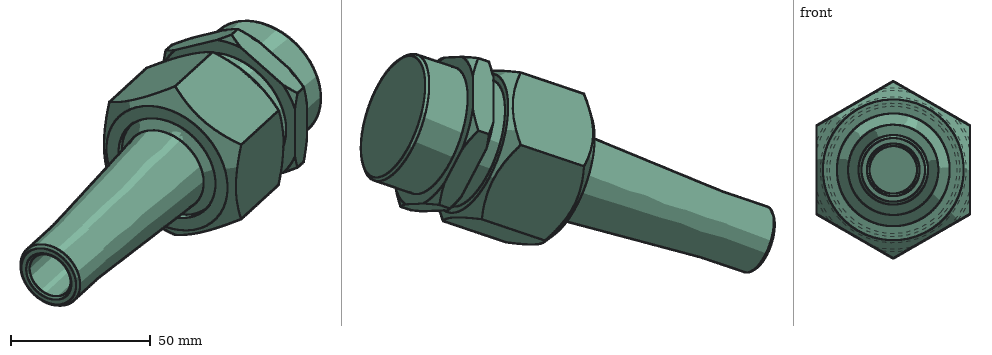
import cadquery as cq


total_length = 152.0
tail_length = 19.2
taper_end = 81.5
nut_front = 83.0
nut_rear = 119.5
flange_front = 126.5
flange_rear = 135.0

hex_corners = 63.5
hex_corner_radius = hex_corners / 2

nut_front_circle = 25.2
nut_front_chamfer = 5.8
nut_rear_circle = 26.1
nut_rear_chamfer = 4.4
flange_front_circle = 29.3
flange_front_chamfer = 1.8
flange_rear_circle = 28.5
flange_rear_chamfer = 2.3

thread_radius = 47.7 / 2
thread_chamfer = 1.0
tail_radius = 25.0 / 2
tail_chamfer = 1.0
taper_end_radius = 32.4 / 2
collar_radius = 40.5 / 2
bore_radius = 17.0 / 2
bore_chamfer = 0.9

nut_lip = 5.0
shoulder = nut_front + nut_lip


def revolved(profile):
    """Solid of revolution about Y from a closed profile whose x is the radius."""
    return profile.close().revolve(360, (0, 0, 0), (0, 1, 0))


def chamfered_hex(front, rear, front_circle, front_chamfer, rear_circle, rear_chamfer):
    """Hexagonal prism from front to rear along Y, its corners turned down to cones at both ends."""
    prism = (
        cq.Workplane("XZ", origin=(0, front, 0))
        .transformed(rotate=(0, 0, 90))
        .polygon(6, hex_corners)
        .extrude(front - rear)
    )
    turned = revolved(
        cq.Workplane("XY")
        .moveTo(0, front)
        .lineTo(front_circle, front)
        .lineTo(hex_corner_radius, front + front_chamfer)
        .lineTo(hex_corner_radius, rear - rear_chamfer)
        .lineTo(rear_circle, rear)
        .lineTo(0, rear)
    )
    return prism.intersect(turned)


def make_fitting():
    """Tapered tail, flared collar and threaded barrel, with a hex flange and a blind bore."""
    flare_end = taper_end + collar_radius - taper_end_radius
    barrel = revolved(
        cq.Workplane("XY")
        .moveTo(0, 0)
        .lineTo(tail_radius - tail_chamfer, 0)
        .lineTo(tail_radius, tail_chamfer)
        .lineTo(tail_radius, tail_length)
        .lineTo(taper_end_radius, taper_end)
        .lineTo(collar_radius, flare_end)
        .lineTo(collar_radius, shoulder)
        .lineTo(thread_radius, shoulder)
        .lineTo(thread_radius, total_length - thread_chamfer)
        .lineTo(thread_radius - thread_chamfer, total_length)
        .lineTo(0, total_length)
    )
    flange = chamfered_hex(
        flange_front, flange_rear,
        flange_front_circle, flange_front_chamfer,
        flange_rear_circle, flange_rear_chamfer,
    )
    bore = revolved(
        cq.Workplane("XY")
        .moveTo(0, 0)
        .lineTo(bore_radius + bore_chamfer, 0)
        .lineTo(bore_radius, bore_chamfer)
        .lineTo(bore_radius, shoulder)
        .lineTo(0, shoulder)
    )
    return barrel.union(flange).cut(bore)


def make_nut():
    """Hex nut bored to take the threaded barrel, with a front lip that fits round the collar."""
    blank = chamfered_hex(
        nut_front, nut_rear,
        nut_front_circle, nut_front_chamfer,
        nut_rear_circle, nut_rear_chamfer,
    )
    opening = revolved(
        cq.Workplane("XY")
        .moveTo(0, nut_front)
        .lineTo(collar_radius, nut_front)
        .lineTo(collar_radius, shoulder)
        .lineTo(thread_radius, shoulder)
        .lineTo(thread_radius, nut_rear)
        .lineTo(0, nut_rear)
    )
    return blank.cut(opening)


fitting = make_fitting()
nut = make_nut()

result = cq.Compound.makeCompound([fitting.val(), nut.val()])